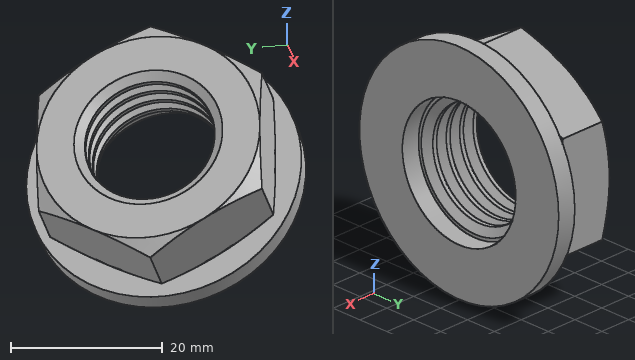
import cadquery as cq
import math

washer_diameter = 37.0
washer_thickness = 3.0
nut_height = 10.0
across_flats = 30.0
corner_bevel_angle = 30.0
corner_clearance = 0.37

bore_radius = 8.75
mouth_radius = 10.0
crest_width = 0.7
crest_count = 4
thread_pitch = nut_height / crest_count
groove_width = thread_pitch - crest_width
countersink_depth = groove_width / 2
washer_hole_radius = 10.5

across_corners = across_flats / math.cos(math.radians(30))
flat_radius = across_flats / 2
nut_start = -(nut_height + washer_thickness) / 2
washer_start = nut_start + nut_height


def revolve_about_x(profile):
    """Turn a closed list of (x, radius) points about the X axis."""
    return cq.Workplane("XY").polyline(profile).close().revolve(360, (0, 0, 0), (1, 0, 0))


def make_bevelled_hexagon():
    """Hexagonal prism with corners at +Z and -Z and both ends bevelled by cones."""
    hexagon = (
        cq.Workplane("YZ", origin=(nut_start, 0, 0))
        .transformed(rotate=(0, 0, 90))
        .polygon(6, across_corners)
        .extrude(nut_height)
    )
    envelope_radius = across_corners / 2 + corner_clearance
    bevel_depth = (envelope_radius - flat_radius) * math.tan(math.radians(corner_bevel_angle))
    envelope = revolve_about_x([
        (nut_start, 0),
        (nut_start, flat_radius),
        (nut_start + bevel_depth, envelope_radius),
        (washer_start - bevel_depth, envelope_radius),
        (washer_start, flat_radius),
        (washer_start, 0),
    ])
    return hexagon.intersect(envelope)


def make_bore_cutter():
    """Bore with a countersink at each end and evenly spaced V-shaped thread rings."""
    profile = [
        (nut_start, 0),
        (nut_start, mouth_radius),
        (nut_start + countersink_depth, bore_radius),
    ]
    for index in range(crest_count - 1):
        groove_start = nut_start + countersink_depth + crest_width + index * thread_pitch
        profile += [
            (groove_start, bore_radius),
            (groove_start + groove_width / 2, mouth_radius),
            (groove_start + groove_width, bore_radius),
        ]
    profile += [
        (washer_start - countersink_depth, bore_radius),
        (washer_start, mouth_radius),
        (washer_start, 0),
    ]
    return revolve_about_x(profile)


def make_nut():
    return make_bevelled_hexagon().cut(make_bore_cutter())


def make_washer():
    return (
        cq.Workplane("YZ", origin=(washer_start, 0, 0))
        .circle(washer_diameter / 2)
        .circle(washer_hole_radius)
        .extrude(washer_thickness)
    )


nut = make_nut()
washer = make_washer()

result = cq.Compound.makeCompound([nut.val(), washer.val()])